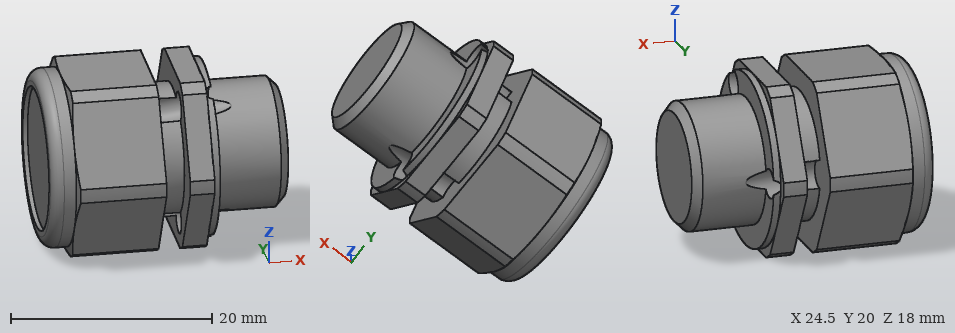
import cadquery as cq
import math

total_length = 24.5
flats_width = 18.0
corner_diameter = 20.0
overlap = 0.25

cap_length = 2.45
cap_round = 1.2
recess_diameter = 14.48
recess_depth = 0.5
nut_end = 11.4
nut_chamfer_angle = 15.0

neck_diameter = 13.5
body_hex_start = 13.8
body_hex_end = 16.27
flange_end = 17.0
shank_diameter = 13.15
shank_chamfer = 0.88

hole_diameter = 3.0
hole_tilt = 11.5
hole_axis_radius = 7.52
hole_length = 12.25
hole_angles = (60, 180, 300)


def cylinder(diameter, start, end):
    return cq.Workplane("YZ", origin=(start, 0, 0)).circle(diameter / 2).extrude(end - start)


def hexagon(start, end):
    """Hexagon with flats facing +Z and -Z and its corners turned round."""
    across_corners = flats_width / math.cos(math.radians(30))
    prism = cq.Workplane("YZ", origin=(start, 0, 0)).polygon(6, across_corners).extrude(end - start)
    return prism.intersect(cylinder(corner_diameter, start, end))


def make_cap_nut():
    corner_height = (corner_diameter - flats_width) / 2
    chamfer_length = corner_height * math.tan(math.radians(nut_chamfer_angle))
    chamfered_blank = (
        cylinder(corner_diameter, cap_length, nut_end)
        .faces("<X").edges().chamfer(chamfer_length, corner_height)
    )
    nut = hexagon(cap_length, nut_end).intersect(chamfered_blank)
    cap = cylinder(flats_width, 0, cap_length + overlap).faces("<X").edges().fillet(cap_round)
    return nut.union(cap).cut(cylinder(recess_diameter, 0, recess_depth))


def make_slanted_hole(angle):
    tilt = math.radians(hole_tilt)
    start_radius = hole_axis_radius - (body_hex_end - nut_end) * math.tan(tilt)
    start = cq.Vector(nut_end, -start_radius, 0)
    direction = cq.Vector(math.cos(tilt), -math.sin(tilt), 0)
    start = start - direction * (hole_diameter / 2)
    hole = cq.Solid.makeCylinder(hole_diameter / 2, hole_length, start, direction)
    return cq.Workplane(obj=hole).rotate((0, 0, 0), (1, 0, 0), -angle)


def make_body():
    shank = cylinder(shank_diameter, flange_end - overlap, total_length)
    shank = shank.faces(">X").edges().chamfer(shank_chamfer)
    body = (
        cylinder(neck_diameter, nut_end - overlap, body_hex_start + overlap)
        .union(hexagon(body_hex_start, body_hex_end))
        .union(cylinder(flats_width, body_hex_end - overlap, flange_end))
        .union(shank)
    )
    for angle in hole_angles:
        body = body.cut(make_slanted_hole(angle))
    return body


result = make_cap_nut().union(make_body())